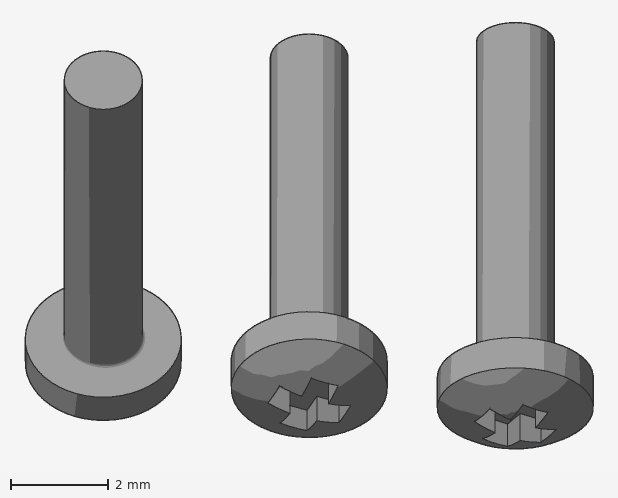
import cadquery as cq
import math

total_height = 9.26
shank_diameter = 1.6
head_diameter = 2 * shank_diameter
shank_length = 8.0
neck_fillet = 0.1
rim_height = 0.72

arm_width = 0.6
arm_span = 1.59
recess_depth = 0.65

head_top = total_height - shank_length
dome_edge = head_top - rim_height
head_radius = head_diameter / 2

corner_radius = arm_width / math.sqrt(2)
sphere_center = (dome_edge**2 + head_radius**2 - corner_radius**2) / (2 * dome_edge)
sphere_radius = math.hypot(sphere_center, corner_radius)
dome_apex = sphere_center - sphere_radius


def dome_height(radius):
    """Z of the dome surface at a distance from the screw axis."""
    return sphere_center - math.sqrt(sphere_radius**2 - radius**2)


def make_body():
    """Revolved half section: domed head, rim, neck fillet and shank."""
    shank_radius = shank_diameter / 2
    dome_middle = head_radius / 2
    fillet_center = (shank_radius + neck_fillet, head_top + neck_fillet)
    fillet_reach = neck_fillet / math.sqrt(2)
    fillet_middle = (fillet_center[0] - fillet_reach, fillet_center[1] - fillet_reach)
    return (
        cq.Workplane("XZ")
        .moveTo(0, dome_apex)
        .threePointArc((dome_middle, dome_height(dome_middle)), (head_radius, dome_edge))
        .lineTo(head_radius, head_top)
        .lineTo(fillet_center[0], head_top)
        .threePointArc(fillet_middle, (shank_radius, fillet_center[1]))
        .lineTo(shank_radius, total_height)
        .lineTo(0, total_height)
        .close()
        .revolve(360, (0, 0, 0), (0, 1, 0))
    )


def make_recess():
    """Two crossed bars, reaching from the dome apex up to the recess floor."""
    bar_height = recess_depth - dome_apex
    bar = (
        cq.Workplane("XY", origin=(0, 0, dome_apex))
        .rect(arm_span, arm_width)
        .extrude(bar_height)
    )
    axis_start, axis_end = (0, 0, 0), (0, 0, 1)
    return bar.rotate(axis_start, axis_end, 45).union(bar.rotate(axis_start, axis_end, -45))


result = make_body().cut(make_recess())